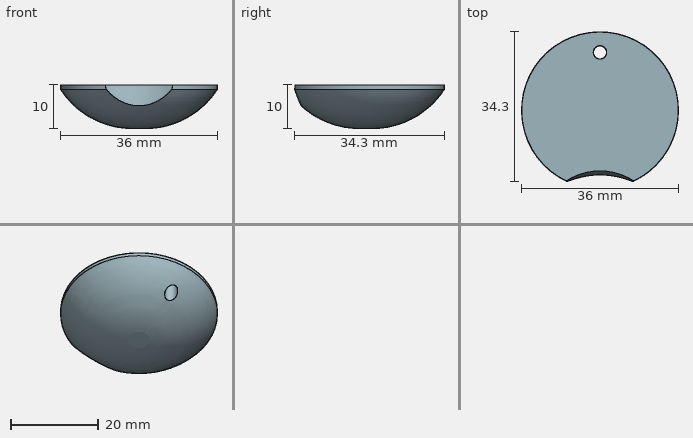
import cadquery as cq

disc_radius = 18.0
total_height = 10.0
rim_height = 1.0

hole_diameter = 3.0
hole_offset = 13.3

notch_top_radius = 13.95
notch_axis_offset = 27.85
notch_lower_radius = 13.05
notch_lower_depth = 4.8

flat_radius = 2.52
dome_mid_radius = 11.45
dome_mid_depth = 7.3


def make_body():
    """Flat-topped disc with a short cylindrical rim and a domed underside."""
    half_section = (
        cq.Workplane("XZ")
        .lineTo(disc_radius, 0)
        .lineTo(disc_radius, -rim_height)
        .threePointArc((dome_mid_radius, -dome_mid_depth), (flat_radius, -total_height))
        .lineTo(0, -total_height)
        .close()
    )
    return half_section.revolve(360, (0, 0), (0, 1))


def make_hole():
    """Vertical through hole near the +Y edge."""
    return (
        cq.Workplane("XY")
        .center(0, hole_offset)
        .circle(hole_diameter / 2)
        .extrude(-total_height)
    )


def make_notch():
    """Downward-narrowing cone that bites into the -Y edge."""
    taper = (notch_top_radius - notch_lower_radius) / notch_lower_depth
    bottom_radius = notch_top_radius - taper * total_height
    cone = cq.Solid.makeCone(
        notch_top_radius,
        bottom_radius,
        total_height,
        pnt=cq.Vector(0, -notch_axis_offset, 0),
        dir=cq.Vector(0, 0, -1),
    )
    return cq.Workplane(obj=cone)


result = make_body().cut(make_hole()).cut(make_notch())